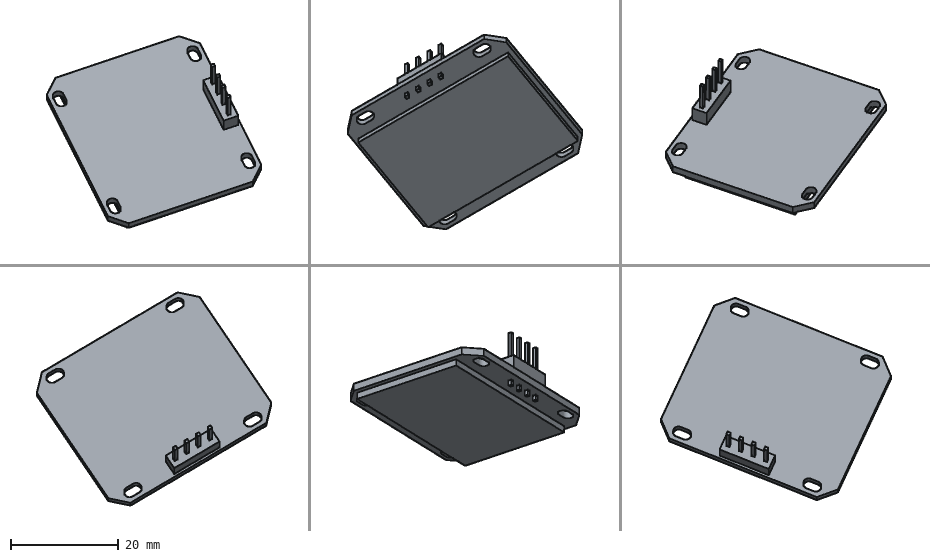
import cadquery as cq

board_length = 36.0
board_width = 31.0
board_thickness = 1.5
corner_chamfer = 3.0

slot_length = 3.53
slot_width = 2.1
slot_spacing_x = 26.5
slot_spacing_y = 27.15

panel_length = 34.0
panel_width = 23.0
panel_thickness = 1.3
panel_front_margin = 3.0

header_length = 10.0
header_width = 3.0
header_height = 3.0
header_edge_gap = 0.5
pin_count = 4
pin_pitch = 2.55
pin_side = 0.65
pin_tail = 1.0
pin_rise = 5.5

panel_center_y = -board_width / 2 + panel_front_margin + panel_width / 2
header_center_y = board_width / 2 - header_edge_gap - header_width / 2
header_top = board_thickness + header_height
pin_length = pin_tail + header_top + pin_rise
first_pin_x = -pin_pitch * (pin_count - 1) / 2
pin_positions = [(first_pin_x + i * pin_pitch, header_center_y) for i in range(pin_count)]


def block(length, width, height, center_x, center_y, bottom):
    """Rectangular block centred in X and Y, standing on the level `bottom`."""
    return (
        cq.Workplane("XY")
        .box(length, width, height, centered=(True, True, False))
        .translate((center_x, center_y, bottom))
    )


def make_pin(x, y):
    """Square pin running through the board and header."""
    return block(pin_side, pin_side, pin_length, x, y, -pin_tail)


def cut_pin_holes(body):
    """Cut square holes that match the pins."""
    for x, y in pin_positions:
        body = body.cut(make_pin(x, y))
    return body


def make_board():
    """Plate with chamfered corners, four mounting slots and pin holes."""
    plate = block(board_length, board_width, board_thickness, 0, 0, 0)
    plate = plate.edges("|Z").chamfer(corner_chamfer)
    slots = (
        cq.Workplane("XY")
        .rarray(slot_spacing_x, slot_spacing_y, 2, 2)
        .slot2D(slot_length, slot_width)
        .extrude(board_thickness)
    )
    return cut_pin_holes(plate.cut(slots))


def make_panel():
    """Display panel against the underside of the board."""
    return block(panel_length, panel_width, panel_thickness, 0, panel_center_y, -panel_thickness)


def make_header():
    """Header housing on top of the board, with pin holes."""
    housing = block(
        header_length, header_width, header_height, 0, header_center_y, board_thickness
    )
    return cut_pin_holes(housing)


board = make_board()
panel = make_panel()
header = make_header()
pins = [make_pin(x, y) for x, y in pin_positions]

result = cq.Compound.makeCompound(
    [board.val(), panel.val(), header.val(), *[pin.val() for pin in pins]]
)